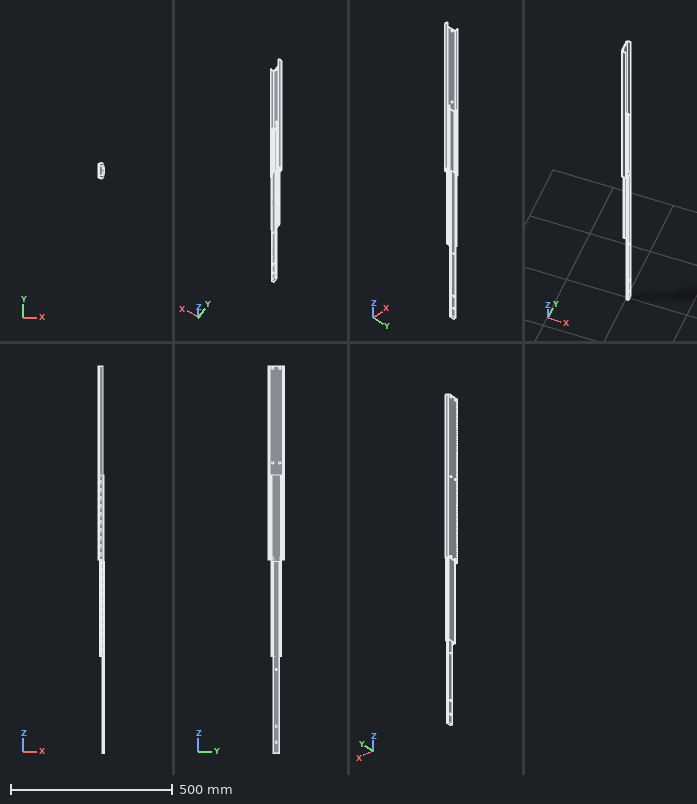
import cadquery as cq

total_depth = 19.75
total_width = 49.77
total_length = 1200.0
top_z = total_length / 2
bottom_z = -total_length / 2
front_x = -total_depth / 2
back_x = total_depth / 2

outer_length = total_length / 2
outer_bottom_z = top_z - outer_length
outer_depth = 15.4
outer_thickness = 3.1
outer_half_width = total_width / 2
outer_web_half_width = 18.4
outer_corner_radius = 4.4

outer_hole_diameter = 5.5
outer_hole_half_pitch = 10.8
outer_hole_end_distance = 6.5

middle_top_z = top_z - 338.0
middle_bottom_z = top_z - 900.0
middle_front_x = front_x + 4.5
middle_back_x = back_x - 1.9
middle_thickness = 2.0
middle_half_width = 16.4
middle_race_depth = 1.2
middle_race_flat = 5.0
middle_race_start_x = middle_front_x + 4.5
middle_race_end_x = middle_back_x - 2.0

inner_length = 595.0
inner_depth = 8.2
inner_half_width = 9.3
inner_front_x = back_x - inner_depth
inner_groove_width = 2.8
inner_groove_depth = 1.4

inner_hole_diameter = 4.5
inner_round_hole_height = 260.0
inner_slot_heights = (34.5, 84.5)
inner_slot_length = 7.0


def outer_section(inset):
    """Bar filling the outer rail outline, shrunk by inset on every side but the open one."""
    web_x = front_x + inset
    shoulder_x = front_x + outer_corner_radius
    shoulder_y = outer_web_half_width + outer_corner_radius - inset
    bend = (outer_corner_radius - inset) * 0.5**0.5
    tip_x = front_x + outer_depth
    race_x = (shoulder_x + tip_x) / 2
    return (
        cq.Workplane("XY", origin=(0, 0, outer_bottom_z))
        .moveTo(web_x, 0)
        .lineTo(web_x, outer_web_half_width)
        .threePointArc((shoulder_x - bend, outer_web_half_width + bend), (shoulder_x, shoulder_y))
        .threePointArc((race_x, outer_half_width - inset), (tip_x, shoulder_y))
        .lineTo(tip_x, 0)
        .mirrorX()
        .extrude(outer_length)
    )


def make_outer_rail():
    """Hollow channel with its pairs of screw holes through the web."""
    rail = outer_section(0).cut(outer_section(outer_thickness))
    hole_heights = (
        outer_bottom_z + outer_hole_end_distance,
        outer_bottom_z + outer_length / 2,
        top_z - outer_hole_end_distance,
    )
    hole_centres = [(side * outer_hole_half_pitch, z) for z in hole_heights for side in (-1, 1)]
    holes = (
        cq.Workplane("YZ", origin=(front_x, 0, 0))
        .pushPoints(hole_centres)
        .circle(outer_hole_diameter / 2)
        .extrude(outer_depth)
    )
    return rail.cut(holes)


def middle_section(inset):
    """Bar filling the middle rail outline, shrunk by inset on every side but the open one."""
    web_x = middle_front_x + inset
    side_y = middle_half_width - inset
    race_y = side_y - middle_race_depth
    race_x = (middle_race_start_x + middle_race_end_x) / 2
    return (
        cq.Workplane("XY", origin=(0, 0, middle_bottom_z))
        .moveTo(web_x, 0)
        .lineTo(web_x, side_y)
        .lineTo(middle_race_start_x, side_y)
        .lineTo(race_x - middle_race_flat / 2, race_y)
        .lineTo(race_x + middle_race_flat / 2, race_y)
        .lineTo(middle_race_end_x, side_y)
        .lineTo(middle_back_x, side_y)
        .lineTo(middle_back_x, 0)
        .mirrorX()
        .extrude(middle_top_z - middle_bottom_z)
    )


def make_middle_rail():
    """Hollow channel with a pressed race along each flange."""
    return middle_section(0).cut(middle_section(middle_thickness))


def make_inner_rail():
    """Grooved solid bar with one round hole and two slots through it."""
    groove_x = inner_front_x + inner_depth / 2
    groove_y = inner_half_width - inner_groove_depth
    rail = (
        cq.Workplane("XY", origin=(0, 0, bottom_z))
        .moveTo(inner_front_x, 0)
        .lineTo(inner_front_x, inner_half_width)
        .lineTo(groove_x - inner_groove_width / 2, inner_half_width)
        .threePointArc((groove_x, groove_y), (groove_x + inner_groove_width / 2, inner_half_width))
        .lineTo(back_x, inner_half_width)
        .lineTo(back_x, 0)
        .mirrorX()
        .extrude(inner_length)
    )
    round_hole = (
        cq.Workplane("YZ", origin=(inner_front_x, 0, bottom_z))
        .center(0, inner_round_hole_height)
        .circle(inner_hole_diameter / 2)
        .extrude(inner_depth)
    )
    slots = (
        cq.Workplane("YZ", origin=(inner_front_x, 0, bottom_z))
        .pushPoints([(0, height) for height in inner_slot_heights])
        .slot2D(inner_slot_length, inner_hole_diameter, 90)
        .extrude(inner_depth)
    )
    return rail.cut(round_hole).cut(slots)


outer_rail = make_outer_rail()
middle_rail = make_middle_rail()
inner_rail = make_inner_rail()

result = cq.Compound.makeCompound([outer_rail.val(), middle_rail.val(), inner_rail.val()])